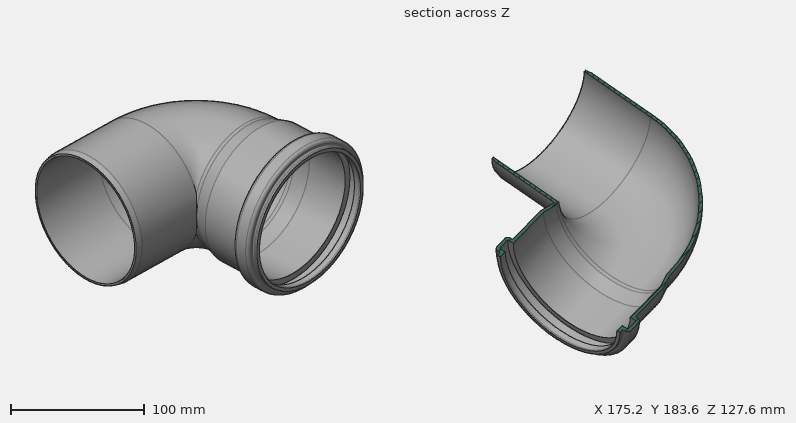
import cadquery as cq
import math


BEND_ANGLE = 87.5
BEND_RADIUS = 52.0
PIPE_OUTER_RADIUS = 110.3 / 2
PIPE_BORE_RADIUS = 104.65 / 2

SPIGOT_LENGTH = 65.2
SPIGOT_TAPER_LENGTH = 5.0
SPIGOT_TAPER_DEPTH = 1.1

SOCKET_OUTER_RADIUS = 117.1 / 2
SOCKET_BORE_RADIUS = 111.3 / 2
BEAD_OUTER_RADIUS = 127.6 / 2
GROOVE_RADIUS = 121.8 / 2
LIP_TIP_OUTER_RADIUS = 116.8 / 2
LIP_TIP_BORE_RADIUS = 111.0 / 2
BEAD_WALL = BEAD_OUTER_RADIUS - GROOVE_RADIUS
BEAD_ROUNDING = BEAD_WALL
BEAD_FOOT_FILLET = 1.0

FLARE_START = 3.1
FLARE_END = 15.1
BEAD_START = 48.9
BEAD_END = 64.3
LIP_TAPER_START = 66.4
SOCKET_LENGTH = 67.8


def revolved(profile, axis_start, axis_end):
    return profile.close().revolve(360, axis_start, axis_end)


def place_on_bend_end(socket_shape):
    """Move a shape built along +X from the origin to the end of the bend."""
    angle = math.radians(BEND_ANGLE)
    end_x = BEND_RADIUS * (1 - math.cos(angle))
    end_y = BEND_RADIUS * math.sin(angle)
    return socket_shape.rotate((0, 0, 0), (0, 0, 1), 90 - BEND_ANGLE).translate((end_x, end_y, 0))


def bend(radius):
    """Round bend whose section is cut off at the bend axis, which lies inside the pipe section."""
    half_chord = math.sqrt(radius**2 - BEND_RADIUS**2)
    return (
        cq.Workplane("XZ")
        .moveTo(BEND_RADIUS, -half_chord)
        .threePointArc((-radius, 0), (BEND_RADIUS, half_chord))
        .close()
        .revolve(BEND_ANGLE, (BEND_RADIUS, 1), (BEND_RADIUS, 0))
    )


def spigot_body():
    tip_radius = PIPE_OUTER_RADIUS - SPIGOT_TAPER_DEPTH
    profile = (
        cq.Workplane("XY")
        .lineTo(PIPE_OUTER_RADIUS, 0)
        .lineTo(PIPE_OUTER_RADIUS, SPIGOT_TAPER_LENGTH - SPIGOT_LENGTH)
        .lineTo(tip_radius, -SPIGOT_LENGTH)
        .lineTo(0, -SPIGOT_LENGTH)
    )
    return revolved(profile, (0, 0), (0, 1))


def spigot_bore():
    return cq.Workplane("XZ").circle(PIPE_BORE_RADIUS).extrude(SPIGOT_LENGTH)


def socket_body():
    fillet_top = SOCKET_OUTER_RADIUS + BEAD_FOOT_FILLET
    rounding_start = BEAD_OUTER_RADIUS - BEAD_ROUNDING
    profile = (
        cq.Workplane("XY")
        .lineTo(0, PIPE_OUTER_RADIUS)
        .lineTo(FLARE_START, PIPE_OUTER_RADIUS)
        .lineTo(FLARE_END, SOCKET_OUTER_RADIUS)
        .lineTo(BEAD_START - BEAD_FOOT_FILLET, SOCKET_OUTER_RADIUS)
        .tangentArcPoint((BEAD_START, fillet_top), relative=False)
        .lineTo(BEAD_START, rounding_start)
        .tangentArcPoint((BEAD_START + BEAD_ROUNDING, BEAD_OUTER_RADIUS), relative=False)
        .lineTo(BEAD_END - BEAD_ROUNDING, BEAD_OUTER_RADIUS)
        .tangentArcPoint((BEAD_END, rounding_start), relative=False)
        .lineTo(BEAD_END, fillet_top)
        .tangentArcPoint((BEAD_END + BEAD_FOOT_FILLET, SOCKET_OUTER_RADIUS), relative=False)
        .lineTo(LIP_TAPER_START, SOCKET_OUTER_RADIUS)
        .lineTo(SOCKET_LENGTH, LIP_TIP_OUTER_RADIUS)
        .lineTo(SOCKET_LENGTH, 0)
    )
    return place_on_bend_end(revolved(profile, (0, 0), (1, 0)))


def socket_bore():
    groove_start = BEAD_START + BEAD_WALL
    groove_end = BEAD_END - BEAD_WALL
    profile = (
        cq.Workplane("XY")
        .lineTo(0, PIPE_BORE_RADIUS)
        .lineTo(FLARE_START, PIPE_BORE_RADIUS)
        .lineTo(FLARE_END, SOCKET_BORE_RADIUS)
        .lineTo(groove_start, SOCKET_BORE_RADIUS)
        .lineTo(groove_start, GROOVE_RADIUS)
        .lineTo(groove_end, GROOVE_RADIUS)
        .lineTo(groove_end, SOCKET_BORE_RADIUS)
        .lineTo(LIP_TAPER_START, SOCKET_BORE_RADIUS)
        .lineTo(SOCKET_LENGTH, LIP_TIP_BORE_RADIUS)
        .lineTo(SOCKET_LENGTH, 0)
    )
    return place_on_bend_end(revolved(profile, (0, 0), (1, 0)))


body = bend(PIPE_OUTER_RADIUS).union(spigot_body()).union(socket_body())
result = body.cut(bend(PIPE_BORE_RADIUS)).cut(spigot_bore()).cut(socket_bore())